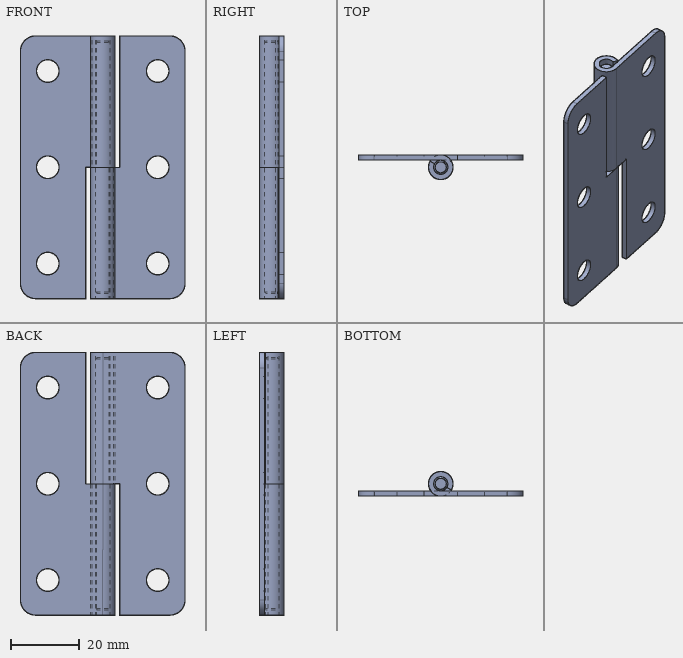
import cadquery as cq
import math

height = 76.5
width = 48.0
sheet = 1.5
barrel_diameter = 7.2
barrel_radius = barrel_diameter / 2
bore_radius = barrel_radius - sheet

corner_radius = 4.5
shoulder_x = 4.9
hole_diameter = 6.5
hole_x = 16.0
hole_pitch = 28.0
curl_end_angle = 150.0

pin_recess = 1.5
pin_chamfer = 0.45


def polar(radius, degrees):
    """Point in the XY plane at a given radius and direction from the pin axis."""
    angle = math.radians(degrees)
    return (radius * math.cos(angle), radius * math.sin(angle))


def make_plate():
    """Flat left leaf, full height outside the shoulder, with rounded outer corners and holes."""
    plate_width = width / 2 - shoulder_x
    plate = (
        cq.Workplane("XY")
        .box(plate_width, sheet, height, centered=(False, False, True))
        .translate((-width / 2, bore_radius, 0))
        .edges("|Y and <X")
        .fillet(corner_radius)
    )
    hole_cutters = (
        cq.Workplane("XZ", origin=(0, barrel_radius, 0))
        .pushPoints([(-hole_x, row * hole_pitch) for row in (-1, 0, 1)])
        .circle(hole_diameter / 2)
        .extrude(sheet)
    )
    return plate.cut(hole_cutters)


def make_knuckle():
    """Upper half of the leaf edge: the sheet runs in from the shoulder and rolls around the pin."""
    middle_angle = (90 + curl_end_angle - 360) / 2
    return (
        cq.Workplane("XY")
        .moveTo(-shoulder_x, barrel_radius)
        .lineTo(0, barrel_radius)
        .threePointArc(polar(barrel_radius, middle_angle), polar(barrel_radius, curl_end_angle))
        .lineTo(*polar(bore_radius, curl_end_angle))
        .threePointArc(polar(bore_radius, middle_angle), (0, bore_radius))
        .lineTo(-shoulder_x, bore_radius)
        .close()
        .extrude(height / 2)
    )


def make_leaf():
    """Left leaf, with its knuckle in the upper half."""
    return make_plate().union(make_knuckle())


def make_pin():
    """Pin filling the bore, with chamfered ends set below the barrel ends."""
    return (
        cq.Workplane("XY")
        .circle(bore_radius)
        .extrude(height / 2 - pin_recess, both=True)
        .faces("<Z or >Z")
        .edges()
        .chamfer(pin_chamfer)
    )


leaves = [make_leaf().rotate((0, 0, 0), (0, 1, 0), turn).val() for turn in (0, 180)]
pin = make_pin()

result = cq.Compound.makeCompound([*leaves, pin.val()])